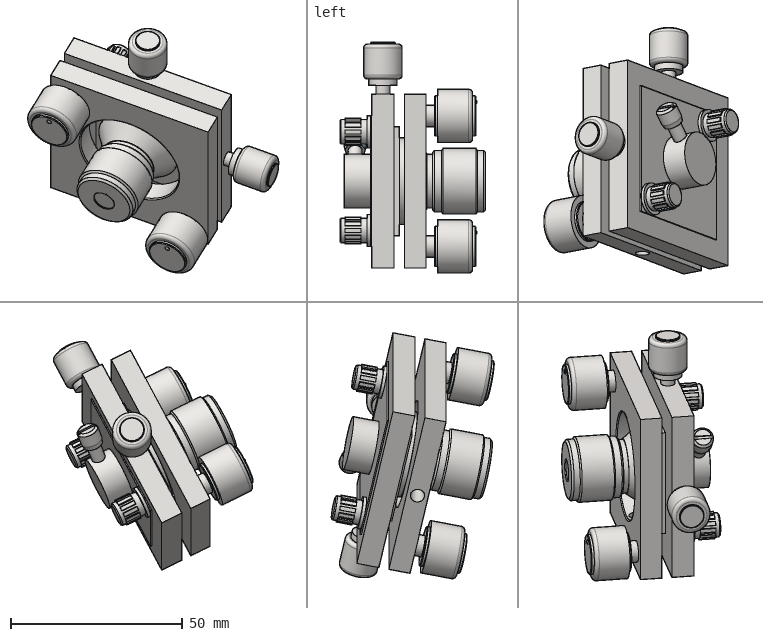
import cadquery as cq
import math

PLATE_SIDE = 50.8
FRONT_PLATE_THICKNESS = 6.35
PLATE_GAP = 2.95
REAR_PLATE_THICKNESS = 6.6
REAR_PLATE_FRONT = FRONT_PLATE_THICKNESS + PLATE_GAP
REAR_PLATE_BACK = REAR_PLATE_FRONT + REAR_PLATE_THICKNESS

BORE_DIAMETER = 31.75
BORE_CHAMFER = 0.35
CROSS_HOLE_DIAMETER = 4.09

TILT_OFFSET = 19.05
TILT_CENTRES = [(-TILT_OFFSET, TILT_OFFSET), (TILT_OFFSET, -TILT_OFFSET)]
TILT_SHAFT_DIAMETER = 6.35
TILT_CAP_DIAMETER = 11.81
TILT_CAP_CHAMFER = 0.25
TILT_CAP_START = 2.45
TILT_GRIP_DIAMETER = 15.61
TILT_GRIP_START = 3.35
TILT_GRIP_END = 13.6
TILT_GRIP_FILLET = 1.15
TILT_CAP_END = 14.5
TILT_DOT_RADIUS = 0.9
TILT_DOT_RISE = 0.35
TILT_DOT_OFFSET = 4.06

SHIFT_AXIS_Y = (REAR_PLATE_FRONT + REAR_PLATE_BACK) / 2
SHIFT_SHAFT_DIAMETER = 4.17
SHIFT_COLLAR_DIAMETER = 8.32
SHIFT_COLLAR_START = 2.54
SHIFT_GRIP_DIAMETER = 11.3
SHIFT_GRIP_START = 4.4
SHIFT_GRIP_END = 14.65
SHIFT_GRIP_FILLET = 1.15
SHIFT_CAP_DIAMETER = 7.24
SHIFT_CAP_CHAMFER = 0.2
SHIFT_CAP_END = 15.185

FLANGE_WIDTH = 28.8
FLANGE_HEIGHT = 31.9
FLANGE_THICKNESS = 1.5
FLANGE_FRONT = REAR_PLATE_FRONT - FLANGE_THICKNESS
CONE_BASE_DIAMETER = 25.4
CONE_BASE_Y = 6.0
CONE_TIP_DIAMETER = 16.2
CONE_TIP_Y = -0.3
PAD_SIDE = 38.1
PAD_THICKNESS = 0.4
PAD_BACK = REAR_PLATE_BACK + PAD_THICKNESS

LOCK_OFFSET = 14.4
LOCK_CENTRES = [(-LOCK_OFFSET, LOCK_OFFSET), (LOCK_OFFSET, -LOCK_OFFSET)]
LOCK_WASHER_DIAMETER = 9.47
LOCK_WASHER_THICKNESS = 0.95
LOCK_HEAD_DIAMETER = 7.24
LOCK_HEAD_LENGTH = 8.9
LOCK_HEAD_CHAMFER = 0.4
RIB_COUNT = 12
RIB_WIDTH = 1.2
RIB_TIP_RADIUS = 4.0
RIB_START = 2.75
RIB_LENGTH = 4.6

TUBE_DIAMETER = 15.75
TUBE_BACK = 23.9
NECK_DIAMETER = 18.03
NECK_START = -1.9
NECK_CHAMFER = 0.6
BARREL_DIAMETER = 19.3
BARREL_START = -4.5
BARREL_END = -14.5
BARREL_TAPER = 0.45
NOSE_END = -17.41
NOSE_CHAMFER = 0.65
LENS_DIAMETER = 6.6
LENS_RECESS = 0.4

CLAMP_Y = 20.7
CLAMP_ANGLE = 45
CLAMP_SHAFT_DIAMETER = 4.12
CLAMP_HEAD_DIAMETER = 6.39
CLAMP_HEAD_NARROW_DIAMETER = 5.71
CLAMP_HEAD_START = 12.7
CLAMP_HEAD_TAPER_END = 14.2
CLAMP_HEAD_END = 18.6
CLAMP_HEAD_CHAMFER = 0.7
CLAMP_SLOT_WIDTH = 0.9
CLAMP_SLOT_DEPTH = 0.5


def along_y(y, x=0, z=0):
    """Workplane facing +Y through (x, y, z), with local x along +X."""
    return cq.Workplane(cq.Plane((x, y, z), xDir=(1, 0, 0), normal=(0, 1, 0)))


def rod(base, start, end, diameter):
    """Cylinder on the base plane's axis between two distances from the plane."""
    return base.workplane(offset=start).circle(diameter / 2).extrude(end - start)


def square_plate(start, thickness):
    """Square plate centred on the optical axis, growing along +Y from start."""
    return along_y(start).rect(PLATE_SIDE, PLATE_SIDE).extrude(thickness)


def tilt_knob(x, z):
    """Shaft, grip, cap and index dot of one tilt adjuster, pointing along -Y."""
    base = cq.Workplane(cq.Plane((x, 0, z), xDir=(1, 0, 0), normal=(0, -1, 0)))
    shaft = rod(base, 0, TILT_CAP_START, TILT_SHAFT_DIAMETER)
    cap = rod(base, TILT_CAP_START, TILT_CAP_END, TILT_CAP_DIAMETER)
    cap = cap.edges().chamfer(TILT_CAP_CHAMFER)
    grip = rod(base, TILT_GRIP_START, TILT_GRIP_END, TILT_GRIP_DIAMETER)
    grip = grip.faces("<Y").edges().fillet(TILT_GRIP_FILLET)
    dot_y = -(TILT_CAP_END + TILT_DOT_RISE - TILT_DOT_RADIUS)
    dot = cq.Workplane(origin=(x, dot_y, z + TILT_DOT_OFFSET)).sphere(TILT_DOT_RADIUS)
    return shaft.union(cap).union(grip).union(dot)


def shift_knob(direction):
    """Stepped knob on the plate edge that faces the given direction."""
    edge = PLATE_SIDE / 2
    origin = (edge * direction[0], SHIFT_AXIS_Y, edge * direction[2])
    base = cq.Workplane(cq.Plane(origin, xDir=(0, 1, 0), normal=direction))
    shaft = rod(base, 0, SHIFT_COLLAR_START, SHIFT_SHAFT_DIAMETER)
    collar = rod(base, SHIFT_COLLAR_START, SHIFT_GRIP_START, SHIFT_COLLAR_DIAMETER)
    grip = rod(base, SHIFT_GRIP_START, SHIFT_GRIP_END, SHIFT_GRIP_DIAMETER)
    grip = grip.edges("%CIRCLE").fillet(SHIFT_GRIP_FILLET)
    cap = rod(base, SHIFT_GRIP_END, SHIFT_CAP_END, SHIFT_CAP_DIAMETER)
    outer_face = cq.selectors.DirectionMinMaxSelector(cq.Vector(*direction))
    cap = cap.faces(outer_face).edges().chamfer(SHIFT_CAP_CHAMFER)
    return shaft.union(collar).union(grip).union(cap)


def lock_screw(x, z):
    """Washer and ribbed head of one lock screw, pointing along +Y."""
    base = along_y(PAD_BACK, x, z)
    washer = rod(base, 0, LOCK_WASHER_THICKNESS, LOCK_WASHER_DIAMETER)
    head = rod(base, LOCK_WASHER_THICKNESS, LOCK_HEAD_LENGTH, LOCK_HEAD_DIAMETER)
    head = head.faces(">Y").edges().chamfer(LOCK_HEAD_CHAMFER)
    screw = washer.union(head)
    rib_base = along_y(PAD_BACK + RIB_START, x, z)
    for i in range(RIB_COUNT):
        rib = rib_base.transformed(rotate=(0, 0, i * 360 / RIB_COUNT))
        rib = rib.center(RIB_TIP_RADIUS / 2, 0).rect(RIB_TIP_RADIUS, RIB_WIDTH).extrude(RIB_LENGTH)
        screw = screw.union(rib)
    return screw


def make_front_plate():
    """Front plate with its bore, cross hole and the two tilt knobs."""
    plate = square_plate(0, FRONT_PLATE_THICKNESS)
    plate = plate.cut(rod(along_y(0), 0, FRONT_PLATE_THICKNESS, BORE_DIAMETER))
    plate = plate.faces("<Y").edges("%CIRCLE").chamfer(BORE_CHAMFER)
    cross_hole = (
        cq.Workplane("XY", origin=(0, FRONT_PLATE_THICKNESS / 2, -PLATE_SIDE / 2))
        .circle(CROSS_HOLE_DIAMETER / 2)
        .extrude(PLATE_SIDE / 2)
    )
    plate = plate.cut(cross_hole)
    for x, z in TILT_CENTRES:
        plate = plate.union(tilt_knob(x, z))
    return plate


def make_rear_plate():
    """Rear plate with stage, shift knobs and lock screws, bored for the tube."""
    plate = square_plate(REAR_PLATE_FRONT, REAR_PLATE_THICKNESS)
    flange = along_y(FLANGE_FRONT).rect(FLANGE_WIDTH, FLANGE_HEIGHT).extrude(FLANGE_THICKNESS)
    pad = along_y(REAR_PLATE_BACK).rect(PAD_SIDE, PAD_SIDE).extrude(PAD_THICKNESS)
    cone = (
        cq.Workplane("XY")
        .moveTo(0, FLANGE_FRONT)
        .lineTo(CONE_BASE_DIAMETER / 2, FLANGE_FRONT)
        .lineTo(CONE_BASE_DIAMETER / 2, CONE_BASE_Y)
        .lineTo(CONE_TIP_DIAMETER / 2, CONE_TIP_Y)
        .lineTo(0, CONE_TIP_Y)
        .close()
        .revolve(360, (0, 0), (0, 1))
    )
    plate = plate.union(flange).union(pad).union(cone)
    for direction in [(0, 0, 1), (1, 0, 0)]:
        plate = plate.union(shift_knob(direction))
    for x, z in LOCK_CENTRES:
        plate = plate.union(lock_screw(x, z))
    return plate.cut(rod(along_y(0), CONE_TIP_Y, PAD_BACK, TUBE_DIAMETER))


def clamp_screw():
    """Radial shaft carrying a tapered, slotted head."""
    angle = math.radians(CLAMP_ANGLE)
    direction = (math.cos(angle), 0, math.sin(angle))
    base = cq.Workplane(cq.Plane((0, CLAMP_Y, 0), xDir=(0, 1, 0), normal=direction))
    shaft = rod(base, 0, CLAMP_HEAD_START, CLAMP_SHAFT_DIAMETER)
    taper = (
        base.workplane(offset=CLAMP_HEAD_START)
        .circle(CLAMP_HEAD_NARROW_DIAMETER / 2)
        .workplane(offset=CLAMP_HEAD_TAPER_END - CLAMP_HEAD_START)
        .circle(CLAMP_HEAD_DIAMETER / 2)
        .loft(ruled=True)
    )
    head = rod(base, CLAMP_HEAD_TAPER_END, CLAMP_HEAD_END, CLAMP_HEAD_DIAMETER)
    outer_face = cq.selectors.DirectionMinMaxSelector(cq.Vector(*direction))
    head = head.faces(outer_face).edges().chamfer(CLAMP_HEAD_CHAMFER)
    slot = (
        base.workplane(offset=CLAMP_HEAD_END - CLAMP_SLOT_DEPTH)
        .rect(CLAMP_HEAD_DIAMETER, CLAMP_SLOT_WIDTH)
        .extrude(CLAMP_SLOT_DEPTH)
    )
    return shaft.union(taper).union(head.cut(slot))


def make_objective():
    """Stepped objective barrel on its through tube, with the clamp screw."""
    tube_radius = TUBE_DIAMETER / 2
    neck_radius = NECK_DIAMETER / 2
    barrel_radius = BARREL_DIAMETER / 2
    body = (
        cq.Workplane("XY")
        .moveTo(0, TUBE_BACK)
        .lineTo(tube_radius, TUBE_BACK)
        .lineTo(tube_radius, NECK_START)
        .lineTo(neck_radius - NECK_CHAMFER, NECK_START)
        .lineTo(neck_radius, NECK_START - NECK_CHAMFER)
        .lineTo(neck_radius, BARREL_START)
        .lineTo(barrel_radius, BARREL_START - BARREL_TAPER)
        .lineTo(barrel_radius, BARREL_END)
        .lineTo(neck_radius, BARREL_END - BARREL_TAPER)
        .lineTo(neck_radius, NOSE_END + NOSE_CHAMFER)
        .lineTo(neck_radius - NOSE_CHAMFER, NOSE_END)
        .lineTo(0, NOSE_END)
        .close()
        .revolve(360, (0, 0), (0, 1))
    )
    lens_recess = rod(along_y(NOSE_END), 0, LENS_RECESS, LENS_DIAMETER)
    return body.cut(lens_recess).union(clamp_screw())


front_plate = make_front_plate()
rear_plate = make_rear_plate()
objective = make_objective()

result = cq.Compound.makeCompound([front_plate.val(), rear_plate.val(), objective.val()])